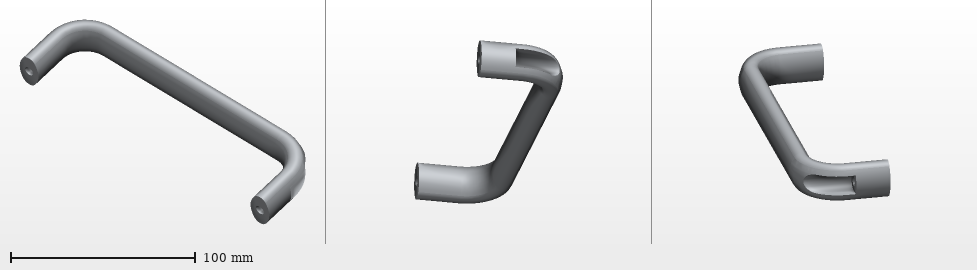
import math

import cadquery as cq

overall_length = 173.0
overall_depth = 50.0
bar_thickness = 13.0
bar_height = 21.0

side_radius = 15.0

bend_radius = 20.0

screw_diameter = 5.5
head_pocket_width = 11.0
pocket_floor_y = 19.0

half_thickness = bar_thickness / 2
half_height = bar_height / 2
leg_x = overall_length / 2 - half_thickness
grip_y = overall_depth - half_thickness

side_center_offset = side_radius - half_thickness
tip_radius = (
    (side_radius**2 - side_center_offset**2 - half_height**2)
    / (2 * (side_radius - half_height))
)
tip_center_z = half_height - tip_radius
tangent_angle = math.atan2(tip_center_z, side_center_offset)
tangent_x = tip_radius * math.cos(tangent_angle)
tangent_z = tip_center_z + tip_radius * math.sin(tangent_angle)


def oval_section():
    """Oval of four tangent arcs, centred on the left leg at its mounting face."""
    return (
        cq.Workplane("XY")
        .transformed(offset=(-leg_x, 0, 0), rotate=(90, 0, 0))
        .moveTo(-tangent_x, tangent_z)
        .threePointArc((0, half_height), (tangent_x, tangent_z))
        .threePointArc((half_thickness, 0), (tangent_x, -tangent_z))
        .threePointArc((0, -half_height), (-tangent_x, -tangent_z))
        .threePointArc((-half_thickness, 0), (-tangent_x, tangent_z))
        .close()
    )


def centre_line():
    """U-shaped path: leg, bend, grip, bend, leg."""
    bend_start_y = grip_y - bend_radius
    grip_end_x = leg_x - bend_radius
    bend_middle = bend_radius * math.sqrt(0.5)
    bend_middle_x = grip_end_x + bend_middle
    bend_middle_y = bend_start_y + bend_middle
    return (
        cq.Workplane("XY")
        .moveTo(-leg_x, 0)
        .lineTo(-leg_x, bend_start_y)
        .threePointArc((-bend_middle_x, bend_middle_y), (-grip_end_x, grip_y))
        .lineTo(grip_end_x, grip_y)
        .threePointArc((bend_middle_x, bend_middle_y), (leg_x, bend_start_y))
        .lineTo(leg_x, 0)
    )


def mounting_cut(side):
    """Screw hole and head pocket of one leg; side is -1 for left, +1 for right.

    The pocket is round towards the middle of the handle and open to the outside.
    """
    center_x = side * leg_x
    pocket_length = overall_depth - pocket_floor_y
    screw_hole = (
        cq.Workplane("XZ")
        .center(center_x, 0)
        .circle(screw_diameter / 2)
        .extrude(-overall_depth)
    )
    pocket_floor = cq.Workplane("XZ", origin=(center_x, pocket_floor_y, 0))
    round_pocket = pocket_floor.circle(head_pocket_width / 2).extrude(-pocket_length)
    open_side = (
        pocket_floor
        .center(side * half_thickness / 2, 0)
        .rect(half_thickness, head_pocket_width)
        .extrude(-pocket_length)
    )
    return screw_hole.union(round_pocket).union(open_side)


result = oval_section().sweep(centre_line())
for leg_side in (-1, 1):
    result = result.cut(mounting_cut(leg_side))